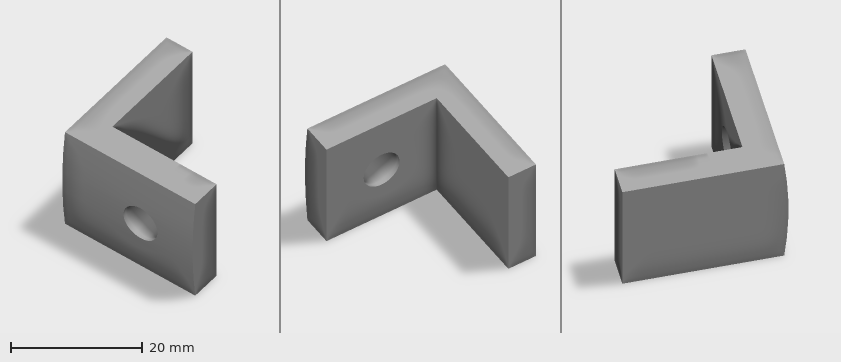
import cadquery as cq
import math

width = 25.0
depth = 26.0
height = 20.0
leg_thickness = 5.0
inner_leg_length = 20.0
crown_radius = 75.0
hole_diameter = 6.5
hole_x = 15.0

crown_y = -depth
mid_height = height / 2
crown_rise = crown_radius - math.sqrt(crown_radius**2 - mid_height**2)
edge_y = crown_y + crown_rise


def crowned_block():
    """Full-width block whose -Y face is an arc across the height."""
    return (
        cq.Workplane("YZ")
        .moveTo(0, 0)
        .lineTo(edge_y, 0)
        .threePointArc((crown_y, mid_height), (edge_y, height))
        .lineTo(0, height)
        .close()
        .extrude(width)
    )


def inner_corner():
    """Material removed to leave the two legs of the L."""
    return (
        cq.Workplane("XY")
        .box(width - leg_thickness, inner_leg_length, height, centered=False)
        .translate((leg_thickness, -inner_leg_length, 0))
    )


def through_hole():
    """Cylinder along Y through the crowned leg."""
    return (
        cq.Workplane("XZ")
        .center(hole_x, mid_height)
        .circle(hole_diameter / 2)
        .extrude(depth)
    )


result = crowned_block().cut(inner_corner()).cut(through_hole())